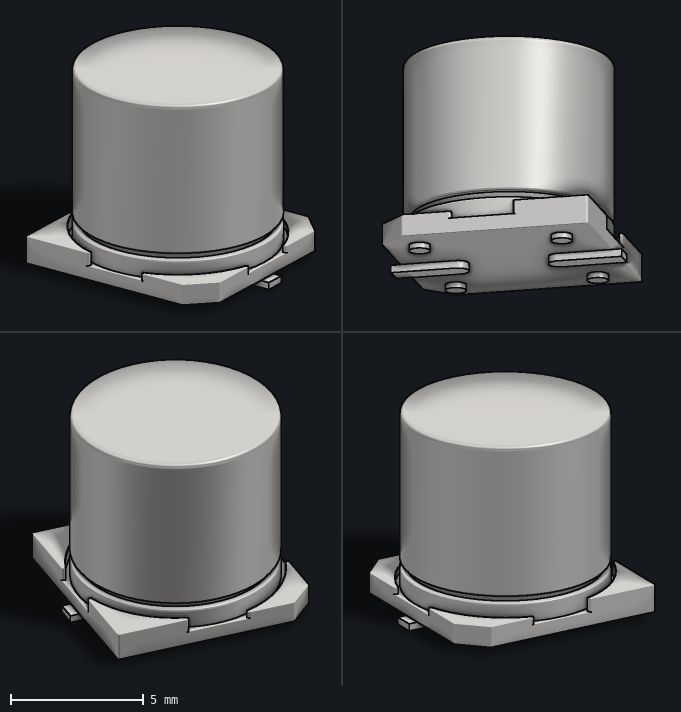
import cadquery as cq

LEAD_SPAN = 9.0
BASE_SIDE = 8.3
TOTAL_HEIGHT = 8.0

LEAD_THICKNESS = 0.3
LEAD_WIDTH = 0.84
LEAD_LENGTH = 2.93
PIN_DIAMETER = 0.8
PIN_LENGTH = 0.225
PIN_OFFSET = 2.77

BASE_BOTTOM = LEAD_THICKNESS
FLOOR_Z = 0.87
LOW_CORNER_Z = 1.14
HIGH_CORNER_Z = 1.4
CORNER_CHAMFER = 1.03
RECESS_DIAMETER = 8.33
NOTCH_WIDTH = 2.41
UPRIGHT_EDGE_RADIUS = 0.1
RIM_RADIUS = 0.02

CAN_DIAMETER = 8.0
GROOVE_DIAMETER = 7.5
GROOVE_BOTTOM = 1.65
GROOVE_TOP = 1.9
GROOVE_LIP_RADIUS = 0.1
CAN_TOP_RADIUS = 0.2


def cylinder(diameter, bottom, top):
    """Upright cylinder on the Z axis between two heights."""
    return cq.Workplane("XY").workplane(offset=bottom).circle(diameter / 2).extrude(top - bottom)


def block(length, width, bottom, top):
    """Box centred on the Z axis between two heights."""
    return cq.Workplane("XY").workplane(offset=bottom).rect(length, width).extrude(top - bottom)


def edges_near(x, y, bottom, top):
    """Selector for edges centred close to a point in plan and between two heights."""
    reach = UPRIGHT_EDGE_RADIUS / 2
    return cq.selectors.BoxSelector((x - reach, y - reach, bottom), (x + reach, y + reach, top))


def make_base():
    """Square base, chamfered at +X, with four corner walls around a recess for the can."""
    half_side = BASE_SIDE / 2
    half_notch = NOTCH_WIDTH / 2
    base = block(BASE_SIDE, BASE_SIDE, BASE_BOTTOM, HIGH_CORNER_Z)
    base = base.edges("|Z and >X").chamfer(CORNER_CHAMFER)
    base = base.edges("|Z").fillet(UPRIGHT_EDGE_RADIUS)

    base = base.cut(block(BASE_SIDE, BASE_SIDE, LOW_CORNER_Z, HIGH_CORNER_Z).translate((half_side, 0, 0)))

    base = base.cut(cylinder(RECESS_DIAMETER, FLOOR_Z, HIGH_CORNER_Z))
    base = base.cut(block(BASE_SIDE, NOTCH_WIDTH, FLOOR_Z, HIGH_CORNER_Z))
    base = base.cut(block(NOTCH_WIDTH, BASE_SIDE, FLOOR_Z, HIGH_CORNER_Z))

    for side in (-half_side, half_side):
        for along in (-half_notch, half_notch):
            for x, y in ((along, side), (side, along)):
                upright_edge = edges_near(x, y, FLOOR_Z, HIGH_CORNER_Z)
                base = base.edges("|Z").edges(upright_edge).fillet(UPRIGHT_EDGE_RADIUS)
        for x, y in ((0, side), (side, 0)):
            floor_edge = edges_near(x, y, FLOOR_Z - RIM_RADIUS, FLOOR_Z + RIM_RADIUS)
            base = base.edges(floor_edge).fillet(RIM_RADIUS)

    for height in (HIGH_CORNER_Z, LOW_CORNER_Z):
        corner_tops = cq.selectors.BoxSelector(
            (-half_side, -half_side, height - RIM_RADIUS), (half_side, half_side, height + RIM_RADIUS)
        )
        base = base.faces("+Z").faces(corner_tops).edges().fillet(RIM_RADIUS)
    return base.faces("<Z").edges().fillet(RIM_RADIUS)


def make_can():
    """Can with a crimp groove near the base and rounded edges."""
    foot = cylinder(CAN_DIAMETER, FLOOR_Z, GROOVE_BOTTOM).faces(">Z").edges().fillet(GROOVE_LIP_RADIUS)
    neck = cylinder(GROOVE_DIAMETER, GROOVE_BOTTOM, GROOVE_TOP)
    shell = cylinder(CAN_DIAMETER, GROOVE_TOP, TOTAL_HEIGHT)
    shell = shell.faces("<Z").edges().fillet(GROOVE_LIP_RADIUS)
    shell = shell.faces(">Z").edges().fillet(CAN_TOP_RADIUS)
    return foot.union(neck).union(shell)


def make_lead(direction):
    """Flat lead with a round inner end, reaching out along X in the given direction."""
    half_width = LEAD_WIDTH / 2
    outer_x = direction * LEAD_SPAN / 2
    inner_x = outer_x - direction * LEAD_LENGTH
    round_x = inner_x + direction * half_width
    return (
        cq.Workplane("XY")
        .moveTo(outer_x, -half_width)
        .lineTo(round_x, -half_width)
        .threePointArc((inner_x, 0), (round_x, half_width))
        .lineTo(outer_x, half_width)
        .close()
        .extrude(LEAD_THICKNESS)
    )


def make_pins():
    """Four short standoff pins under the corners of the base."""
    return (
        cq.Workplane("XY")
        .workplane(offset=BASE_BOTTOM - PIN_LENGTH)
        .rect(2 * PIN_OFFSET, 2 * PIN_OFFSET, forConstruction=True)
        .vertices()
        .circle(PIN_DIAMETER / 2)
        .extrude(PIN_LENGTH)
    )


result = make_base().union(make_can()).union(make_pins())
for lead_direction in (-1, 1):
    result = result.union(make_lead(lead_direction))